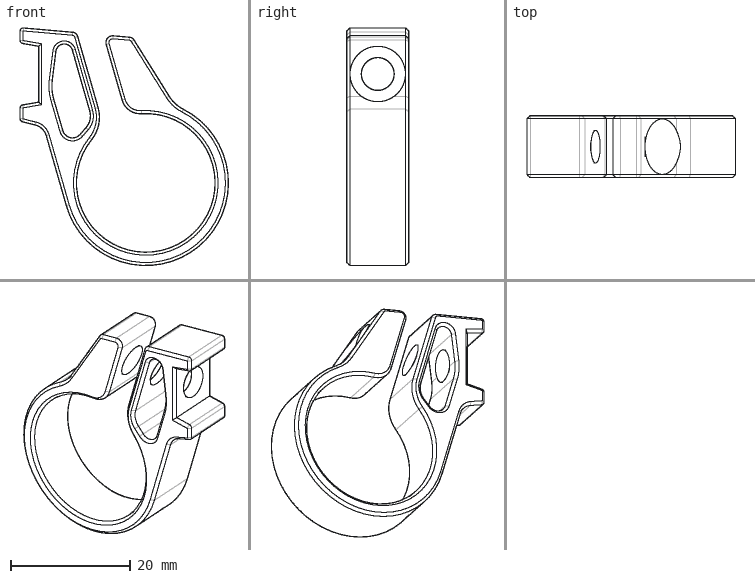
import cadquery as cq
import math

WIDTH = 10.4
OUTER_RADIUS = 13.9
BORE_RADIUS = 11.6
FACE_CHAMFER = 0.5

LEAN = math.radians(16)
GAP_WIDTH = 4.2
GAP_FLOOR = 8

TIP_X = -21.1
HEIGHT = 39.9
TOP_TILT = math.radians(5)
TOP_SLOPE = math.tan(TOP_TILT)

RECESS_FLOOR_X = -18.0
RECESS_TOP_Z = 22.9
RECESS_BOTTOM_Z = 13.55
RECESS_SLOPE = math.tan(math.radians(10))
PRONG_UNDERSIDE_Z = 10.35
PRONG_UNDERSIDE_SLOPE = math.tan(math.radians(14))

FLANK_LEAN = 2 * LEAN
FLANK_START = (1.55, 18.35)
FLANK_FOOT_Z = 12.37

TIP_RADIUS = 0.55
CLIP_CORNER_RADIUS = 1.0
LUG_INNER_CORNER_RADIUS = 1.15
LUG_OUTER_CORNER_RADIUS = 1.0
CLIP_THROAT_RADIUS = 6
LUG_THROAT_RADIUS = 3.2
FLANK_BLEND_RADIUS = 6
PRONG_BLEND_RADIUS = 2.55

WINDOW_CORNERS = [
    ((-14.2, 28.85), 1.4),
    ((-8.98, 10.5), 3.0),
    ((-13.05, 5.83), 1.68),
    ((-15.9, 15.6), 8),
]

SCREW_Z = 18.28
SCREW_DIAMETER = 5.45
HEAD_DIAMETER = 9.3
HEAD_SEAT_X = -1.28


def leaning(across, along):
    """Point at a distance across and along the leaning gap direction."""
    x = across * math.cos(LEAN) - along * math.sin(LEAN)
    z = across * math.sin(LEAN) + along * math.cos(LEAN)
    return (x, z)


def meet(point_a, slope_a, point_b, slope_b):
    """Crossing of two lines, each given by a point and its slope dz/dx."""
    (xa, za), (xb, zb) = point_a, point_b
    x = (zb - za + slope_a * xa - slope_b * xb) / (slope_a - slope_b)
    return (x, za + slope_a * (x - xa))


def prism(points):
    """Polygon in the XZ plane, extruded over the full width."""
    return cq.Workplane("XZ").polyline(points).close().extrude(WIDTH / 2, both=True)


def disc(radius):
    """Full-width cylinder along Y, centred on the ring axis."""
    return cq.Workplane("XZ").circle(radius).extrude(WIDTH / 2, both=True)


def round_edge(body, point, radius):
    """Fillet the edge along Y that passes nearest to the given (x, z) point."""
    x, z = point
    selector = cq.selectors.NearestToPointSelector((x, 0, z))
    return body.edges("|Y").edges(selector).fillet(radius)


def x_cylinder(diameter, x_start, x_end):
    """Cylinder along X at the height of the screw."""
    plane = cq.Workplane("YZ", origin=(x_start, 0, SCREW_Z))
    return plane.circle(diameter / 2).extrude(x_end - x_start)


lean_slope = -1 / math.tan(LEAN)
flank_slope = -1 / math.tan(FLANK_LEAN)
tip_reach = RECESS_FLOOR_X - TIP_X

tip_peak_z = HEIGHT - OUTER_RADIUS
tip_top_z = tip_peak_z + TIP_RADIUS * (TOP_SLOPE + 1 / math.cos(TOP_TILT) - 1)
tip_top = (TIP_X, tip_top_z)
clip_top = meet(tip_top, -TOP_SLOPE, leaning(-GAP_WIDTH, 0), lean_slope)
lug_top_inner = meet(tip_top, -TOP_SLOPE, leaning(0, 0), lean_slope)
lug_top_outer = meet(tip_top, -TOP_SLOPE, FLANK_START, flank_slope)

upper_prong_tip = (TIP_X, RECESS_TOP_Z + tip_reach * RECESS_SLOPE)
lower_prong_tip = (TIP_X, RECESS_BOTTOM_Z - tip_reach * RECESS_SLOPE)
underside_tip = (TIP_X, PRONG_UNDERSIDE_Z)
ring_tangent = leaning(-OUTER_RADIUS, 0)
underside_root = meet(underside_tip, -PRONG_UNDERSIDE_SLOPE, ring_tangent, lean_slope)

flank_foot = (FLANK_START[0] + (FLANK_FOOT_Z - FLANK_START[1]) / flank_slope, FLANK_FOOT_Z)
clip_gap_foot = leaning(-GAP_WIDTH, GAP_FLOOR)
lug_gap_foot = leaning(0, GAP_FLOOR)

clip_throat = leaning(-GAP_WIDTH, math.sqrt(BORE_RADIUS**2 - GAP_WIDTH**2))
lug_throat = leaning(0, BORE_RADIUS)
flank_offset = FLANK_START[0] * math.cos(FLANK_LEAN) + FLANK_START[1] * math.sin(FLANK_LEAN)
flank_angle = FLANK_LEAN + math.acos(flank_offset / OUTER_RADIUS)
flank_root = (OUTER_RADIUS * math.cos(flank_angle), OUTER_RADIUS * math.sin(flank_angle))

clip_arm = prism([
    tip_top,
    clip_top,
    clip_gap_foot,
    ring_tangent,
    underside_root,
    underside_tip,
    lower_prong_tip,
    (RECESS_FLOOR_X, RECESS_BOTTOM_Z),
    (RECESS_FLOOR_X, RECESS_TOP_Z),
    upper_prong_tip,
])
lug = prism([lug_top_inner, lug_top_outer, flank_foot, lug_gap_foot])
gap = prism([clip_gap_foot, clip_top, lug_top_inner, lug_gap_foot])
body = disc(OUTER_RADIUS).cut(gap).union(clip_arm).union(lug).cut(disc(BORE_RADIUS))

for corner in (tip_top, upper_prong_tip, lower_prong_tip, underside_tip):
    body = round_edge(body, corner, TIP_RADIUS)
body = round_edge(body, clip_top, CLIP_CORNER_RADIUS)
body = round_edge(body, lug_top_inner, LUG_INNER_CORNER_RADIUS)
body = round_edge(body, lug_top_outer, LUG_OUTER_CORNER_RADIUS)
body = round_edge(body, clip_throat, CLIP_THROAT_RADIUS)
body = round_edge(body, lug_throat, LUG_THROAT_RADIUS)
body = round_edge(body, flank_root, FLANK_BLEND_RADIUS)
body = round_edge(body, underside_root, PRONG_BLEND_RADIUS)

window = prism([corner for corner, radius in WINDOW_CORNERS])
for corner, radius in WINDOW_CORNERS:
    window = round_edge(window, corner, radius)
body = body.cut(window)

body = body.faces("<Y or >Y").chamfer(FACE_CHAMFER)

body = body.cut(x_cylinder(SCREW_DIAMETER, TIP_X, OUTER_RADIUS))
result = body.cut(x_cylinder(HEAD_DIAMETER, HEAD_SEAT_X, OUTER_RADIUS))